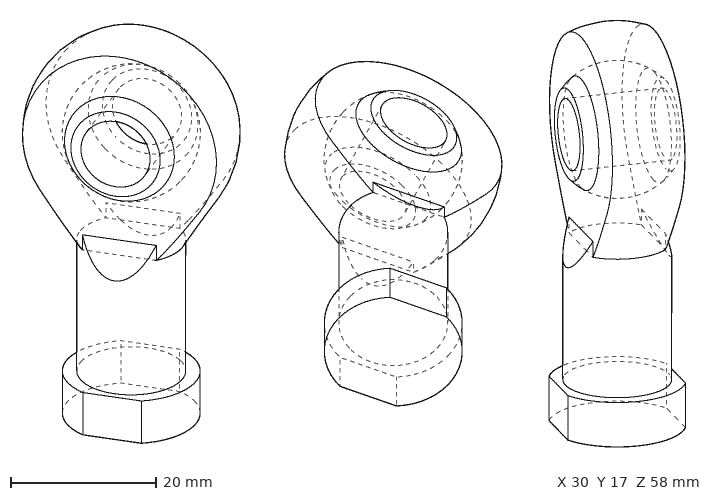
import cadquery as cq
import math

eye_height = 43.0
head_radius = 15.0
head_width = 10.5
ball_radius = 9.525
ball_width = 14.0
bore_radius = 5.0

shank_radius = 7.5
collar_radius = 9.5
collar_height = 6.5
wrench_size = 17.0

neck_height = 26.7
bevel_bottom = 23.8
bevel_top = 29.0

neck_drop = eye_height - neck_height
neck_edge_distance = math.hypot(shank_radius, neck_drop)
neck_edge_angle = math.atan2(neck_drop, shank_radius)
tangent_angle = neck_edge_angle - math.acos(head_radius / neck_edge_distance)
tangent_radius = head_radius * math.cos(tangent_angle)
tangent_height = eye_height - head_radius * math.sin(tangent_angle)


def make_head_blank():
    """Ball-shaped head and conical neck, cut to two flat faces."""
    profile = (
        cq.Workplane("XZ")
        .moveTo(0, neck_height)
        .lineTo(shank_radius, neck_height)
        .lineTo(tangent_radius, tangent_height)
        .threePointArc(
            (head_radius, eye_height),
            (0, eye_height + head_radius),
        )
        .close()
    )
    round_head = profile.revolve(360, (0, 0, 0), (0, 1, 0))
    slab_size = 4 * head_radius
    slab = cq.Workplane("XY").box(slab_size, head_width, slab_size).translate((0, 0, eye_height))
    return round_head.intersect(slab)


def make_shank_blank():
    """Round shank whose top is bevelled down to the width of the head."""
    cylinder = cq.Workplane("XY").circle(shank_radius).extrude(bevel_top)
    bevelled_side = (
        cq.Workplane("YZ")
        .polyline([
            (-shank_radius, 0),
            (shank_radius, 0),
            (shank_radius, bevel_bottom),
            (head_width / 2, bevel_top),
            (-head_width / 2, bevel_top),
            (-shank_radius, bevel_bottom),
        ])
        .close()
        .extrude(shank_radius, both=True)
    )
    return cylinder.intersect(bevelled_side)


def make_collar():
    """Round collar with two wrench flats, facing front and back."""
    disc = cq.Workplane("XY").circle(collar_radius).extrude(collar_height)
    flats = cq.Workplane("XY").rect(2 * collar_radius, wrench_size).extrude(collar_height)
    return disc.intersect(flats)


def make_ball_blank():
    """Solid ball with two flat ends, also the shape of its seat in the head."""
    half_width = ball_width / 2
    end_radius = math.sqrt(ball_radius**2 - half_width**2)
    profile = (
        cq.Workplane("XY", origin=(0, 0, eye_height))
        .moveTo(0, -half_width)
        .lineTo(end_radius, -half_width)
        .threePointArc((ball_radius, 0), (end_radius, half_width))
        .lineTo(0, half_width)
        .close()
    )
    return profile.revolve(360, (0, 0, 0), (0, 1, 0))


head_blank = make_head_blank()
ball_blank = make_ball_blank()
head = head_blank.cut(ball_blank)

shank = make_shank_blank().union(make_collar()).cut(head_blank)

bore = (
    cq.Workplane("XZ", origin=(0, 0, eye_height))
    .circle(bore_radius)
    .extrude(ball_width, both=True)
)
ball = ball_blank.cut(bore)

result = cq.Compound.makeCompound([head.solids().val(), shank.solids().val(), ball.solids().val()])